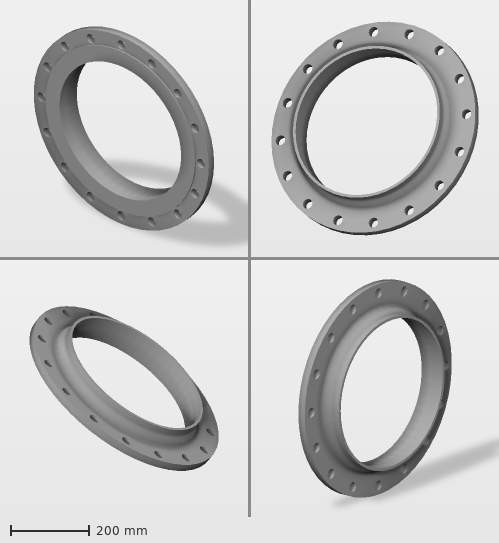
import cadquery as cq

total_length = 72.0
flange_diameter = 565.0
flange_thickness = 22.0
raised_face_diameter = 482.0
raised_face_height = 4.0
bore_diameter = 392.0
neck_diameter = 407.0
neck_length = 20.0
hub_base_diameter = 439.0
hub_blend_radius = 10.0
bolt_circle_diameter = 515.0
bolt_hole_diameter = 26.0
bolt_count = 16

face_y = 0.0
flange_front_y = face_y + raised_face_height
flange_back_y = flange_front_y + flange_thickness
neck_start_y = total_length - neck_length


def circle_at(diameter, y):
    """Select the circular edges at height y that are no larger than the diameter, seam edges excluded."""
    margin = 0.5
    reach = diameter / 2 + margin
    return cq.selectors.BoxSelector(
        (-reach, y - margin, -reach),
        (reach, y + margin, reach),
        boundingbox=True,
    )


def flange_body():
    """Revolve the half section (radius along X) about the Y axis."""
    section = (
        cq.Workplane("XY")
        .moveTo(bore_diameter / 2, face_y)
        .lineTo(raised_face_diameter / 2, face_y)
        .lineTo(raised_face_diameter / 2, flange_front_y)
        .lineTo(flange_diameter / 2, flange_front_y)
        .lineTo(flange_diameter / 2, flange_back_y)
        .lineTo(hub_base_diameter / 2, flange_back_y)
        .lineTo(neck_diameter / 2, neck_start_y)
        .lineTo(neck_diameter / 2, total_length)
        .lineTo(bore_diameter / 2, total_length)
        .close()
    )
    body = section.revolve(360, (0, 0, 0), (0, 1, 0))
    for diameter, y in ((neck_diameter, neck_start_y), (hub_base_diameter, flange_back_y)):
        body = body.edges(circle_at(diameter, y)).fillet(hub_blend_radius)
    return body


def bolt_holes():
    """Cylinders on the bolt circle, one of them on the +X axis."""
    return (
        cq.Workplane("XZ")
        .polarArray(bolt_circle_diameter / 2, 0, 360, bolt_count)
        .circle(bolt_hole_diameter / 2)
        .extrude(-total_length)
    )


result = flange_body().cut(bolt_holes())